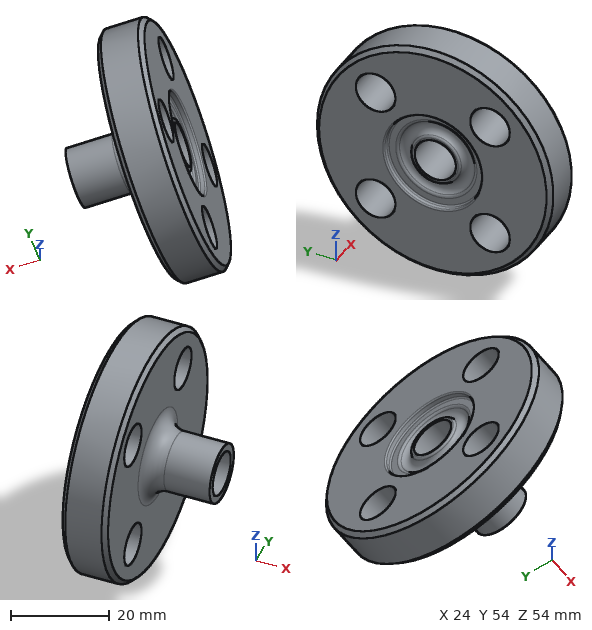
import cadquery as cq
import math

flange_diameter = 54.0
flange_thickness = 10.0
rim_chamfer = 1.0
overall_length = 24.0

neck_diameter = 12.7
neck_fillet = 4.0
bore_diameter = 9.4

bolt_count = 4
bolt_hole_diameter = 9.0
bolt_circle_diameter = 36.95
first_bolt_angle = 45.0

recess_diameter = 22.2
recess_depth = 1.5
recess_edge_fillet = 0.3

land_depth = 1.1

groove_center_radius = 7.25
groove_center_depth = 1.15
groove_section_radius = 1.55
groove_outer_lip_fillet = 0.75
groove_inner_lip_fillet = 0.55


def cylinder(diameter, start, end):
    """Cylinder on the X axis between two X positions."""
    return cq.Workplane("YZ", origin=(start, 0, 0)).circle(diameter / 2).extrude(end - start)


def lip_blend(face_depth, fillet, side):
    """Points (X, radius) of a fillet from a flat face into the groove.

    side is +1 for the outer lip and -1 for the inner lip.
    Returns the tangent point on the face, a mid-arc point and the tangent point on the groove.
    """
    center_x = face_depth + fillet
    rise = center_x - groove_center_depth
    center_distance = groove_section_radius + fillet
    reach = math.sqrt(center_distance**2 - rise**2)
    center_radius = groove_center_radius + side * reach

    on_face = (face_depth, center_radius)
    mid_angle = math.atan2(reach, rise) / 2
    middle = (
        center_x - fillet * math.cos(mid_angle),
        center_radius - side * fillet * math.sin(mid_angle),
    )
    groove_share = groove_section_radius / center_distance
    on_groove = (
        groove_center_depth + rise * groove_share,
        groove_center_radius + side * reach * groove_share,
    )
    return on_face, middle, on_groove


def make_flange():
    """Chamfered disc with the neck blended into its back face."""
    disc = cylinder(flange_diameter, 0, flange_thickness).edges().chamfer(rim_chamfer)
    neck_radius = neck_diameter / 2
    blend_end = flange_thickness + neck_fillet
    blend_radius = neck_radius + neck_fillet
    arc_offset = neck_fillet * math.sqrt(0.5)
    neck = (
        cq.Workplane("XY")
        .moveTo(0, 0)
        .lineTo(0, blend_radius)
        .lineTo(flange_thickness, blend_radius)
        .threePointArc((blend_end - arc_offset, blend_radius - arc_offset), (blend_end, neck_radius))
        .lineTo(overall_length, neck_radius)
        .lineTo(overall_length, 0)
        .close()
        .revolve(360, (0, 0, 0), (1, 0, 0))
    )
    return disc.union(neck)


def make_recess():
    """Volume removed for the recess, the raised land and the O-ring groove."""
    wall_radius = recess_diameter / 2
    fillet = recess_edge_fillet
    arc_inset = fillet * (1 - math.sqrt(0.5))
    outer_face, outer_middle, outer_groove = lip_blend(recess_depth, groove_outer_lip_fillet, 1)
    inner_face, inner_middle, inner_groove = lip_blend(land_depth, groove_inner_lip_fillet, -1)
    groove_bottom = (groove_center_depth + groove_section_radius, groove_center_radius)
    return (
        cq.Workplane("XY")
        .moveTo(0, 0)
        .lineTo(0, wall_radius + fillet)
        .threePointArc((arc_inset, wall_radius + arc_inset), (fillet, wall_radius))
        .lineTo(recess_depth - fillet, wall_radius)
        .threePointArc(
            (recess_depth - arc_inset, wall_radius - arc_inset),
            (recess_depth, wall_radius - fillet),
        )
        .lineTo(*outer_face)
        .threePointArc(outer_middle, outer_groove)
        .threePointArc(groove_bottom, inner_groove)
        .threePointArc(inner_middle, inner_face)
        .lineTo(land_depth, 0)
        .close()
        .revolve(360, (0, 0, 0), (1, 0, 0))
    )


def make_bolt_holes():
    """Through holes evenly spaced on the bolt circle."""
    return (
        cq.Workplane("YZ")
        .polarArray(bolt_circle_diameter / 2, first_bolt_angle, 360, bolt_count)
        .circle(bolt_hole_diameter / 2)
        .extrude(flange_thickness)
    )


bore = cylinder(bore_diameter, 0, overall_length)
result = make_flange().cut(make_recess()).cut(bore).cut(make_bolt_holes())